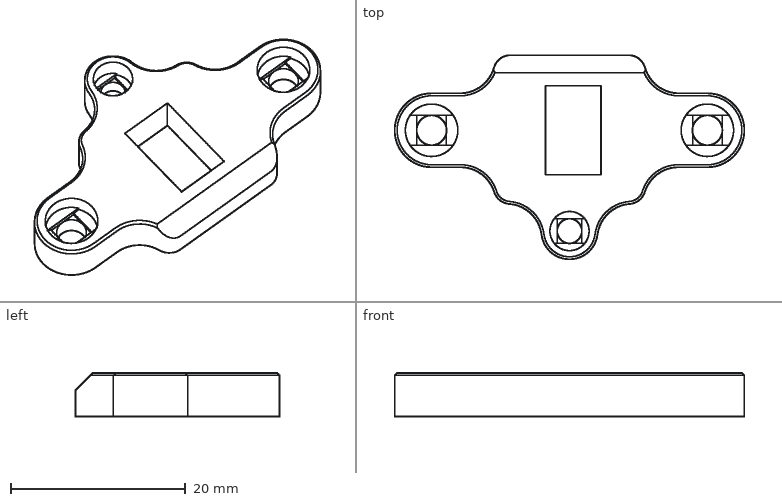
import cadquery as cq
import math

thickness = 5.0
overall_length = 40.1
body_half_width = 8.75
body_back_y = 8.62
body_front_y = -8.45
corner_radius = 2.0
blend_radius = 4.0
edge_chamfer = 0.3
back_chamfer = 2.0

ear_radius = 4.25
ear_x = overall_length / 2 - ear_radius
boss_radius = 3.25
overall_depth = 23.4
boss_y = body_back_y - overall_depth + boss_radius

window_width = 6.35
window_depth = 10.15
window_x = 0.45

ear_hole_diameter = 3.4
ear_bore_diameter = 6.0
ear_bore_depth = 2.0
boss_hole_diameter = 2.8
boss_bore_diameter = 4.5
boss_bore_depth = 2.5
seat_step = 0.3


def point_between(start, end, distance):
    """Point at the given distance from start along the line to end."""
    ratio = distance / math.dist(start, end)
    return (start[0] + ratio * (end[0] - start[0]), start[1] + ratio * (end[1] - start[1]))


def arc_middle(center, start, end, radius):
    """Middle point of the short arc from start to end."""
    chord_middle = ((start[0] + end[0]) / 2, (start[1] + end[1]) / 2)
    return point_between(center, chord_middle, radius)


def ear_blend_center(corner, blend_y):
    """Centre, at height blend_y, of the hollow arc that touches the rounded corner."""
    center_gap = corner_radius + blend_radius
    return (corner[0] + math.sqrt(center_gap**2 - (blend_y - corner[1])**2), blend_y)


def plate_outline():
    """Closed outline of tangent arcs: body corners, ears and boss joined by hollow blends,
    drawn for +X and mirrored."""
    corner = (body_half_width - corner_radius, body_front_y + corner_radius)
    back_corner = (corner[0], body_back_y - corner_radius)

    front_blend = ear_blend_center(corner, -ear_radius - blend_radius)
    front_side = (front_blend[0], -ear_radius)
    corner_outer = point_between(corner, front_blend, corner_radius)
    back_blend = ear_blend_center(back_corner, ear_radius + blend_radius)
    back_side = (back_blend[0], ear_radius)
    back_corner_outer = point_between(back_corner, back_blend, corner_radius)
    front_tip = (ear_x, -ear_radius)
    back_tip = (ear_x, ear_radius)

    boss = (0, boss_y)
    corner_gap = corner_radius + blend_radius
    boss_gap = boss_radius + blend_radius
    span = math.dist(boss, corner)
    along = (boss_gap**2 - corner_gap**2 + span**2) / (2 * span)
    angle = math.atan2(corner[1] - boss[1], corner[0]) - math.acos(along / boss_gap)
    boss_blend = (boss_gap * math.cos(angle), boss_y + boss_gap * math.sin(angle))
    corner_inner = point_between(corner, boss_blend, corner_radius)
    boss_side = point_between(boss, boss_blend, boss_radius)

    back_end = (back_corner[0], body_back_y)

    boss_arc_middle = arc_middle(boss, (0, boss_y - boss_radius), boss_side, boss_radius)
    corner_middle = arc_middle(corner, corner_inner, corner_outer, corner_radius)
    front_blend_middle = arc_middle(front_blend, corner_outer, front_side, blend_radius)
    back_blend_middle = arc_middle(back_blend, back_corner_outer, back_side, blend_radius)
    boss_blend_middle = arc_middle(boss_blend, boss_side, corner_inner, blend_radius)
    back_middle = arc_middle(back_corner, back_corner_outer, back_end, corner_radius)

    return (
        cq.Workplane("XY")
        .moveTo(0, boss_y - boss_radius)
        .threePointArc(boss_arc_middle, boss_side)
        .threePointArc(boss_blend_middle, corner_inner)
        .threePointArc(corner_middle, corner_outer)
        .threePointArc(front_blend_middle, front_side)
        .lineTo(*front_tip)
        .threePointArc((ear_x + ear_radius, 0), back_tip)
        .lineTo(*back_side)
        .threePointArc(back_blend_middle, back_corner_outer)
        .threePointArc(back_middle, back_end)
        .lineTo(0, body_back_y)
        .mirrorY()
    )


def back_wedge():
    """Waste above the sloped face along the +Y edge."""
    return (
        cq.Workplane("YZ")
        .moveTo(body_back_y - back_chamfer, thickness)
        .lineTo(body_back_y, thickness)
        .lineTo(body_back_y, thickness - back_chamfer)
        .close()
        .extrude(body_half_width, both=True)
    )


def screw_hole(x, y, hole_diameter, bore_diameter, bore_depth):
    """Through hole whose counterbore floor steps down to a slot and then to a square."""
    floor = thickness - bore_depth
    plane = cq.Workplane("XY").center(x, y)
    hole = plane.circle(hole_diameter / 2).extrude(thickness)
    bore = plane.workplane(offset=floor).circle(bore_diameter / 2).extrude(bore_depth)
    slot = (
        plane.workplane(offset=floor - seat_step)
        .rect(bore_diameter, hole_diameter)
        .extrude(seat_step)
        .intersect(plane.circle(bore_diameter / 2).extrude(thickness))
    )
    square = (
        plane.workplane(offset=floor - 2 * seat_step)
        .rect(hole_diameter, hole_diameter)
        .extrude(2 * seat_step)
    )
    return hole.union(bore).union(slot).union(square)


plate = plate_outline().extrude(thickness).faces(">Z").edges().chamfer(edge_chamfer)
plate = plate.cut(back_wedge())

window = cq.Workplane("XY").center(window_x, 0).rect(window_width, window_depth).extrude(thickness)
plate = plate.cut(window)

for side in (-1, 1):
    plate = plate.cut(screw_hole(side * ear_x, 0, ear_hole_diameter, ear_bore_diameter, ear_bore_depth))
plate = plate.cut(screw_hole(0, boss_y, boss_hole_diameter, boss_bore_diameter, boss_bore_depth))

result = plate